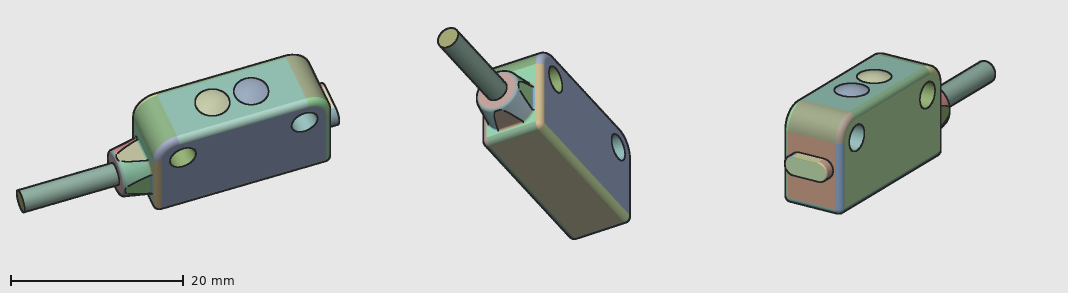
import cadquery as cq
import math


body_width = 8.0
body_length = 21.85
body_height = 12.0
top_corner_radius = 2.95
body_edge_fillet = 0.75

hole_diameter = 3.2
hole_pitch = 15.0
hole_height = 8.75

dome_diameter = 4.02
dome_rise = 0.5
dome_pitch = 4.8
first_dome_y = 8.55

nose_length = 1.35
nose_width = 5.9
nose_thickness = 2.5
nose_height = 5.55
nose_edge_fillet = 0.2

gland_height = 4.15
gland_length = 3.45
gland_root_side = 5.82
gland_end_side = 5.5
gland_root_diameter = 6.75
gland_end_diameter = gland_end_side
gland_end_fillet = 0.4
gland_root_fillet = 0.23
cable_diameter = 2.7
cable_length = 11.7


def make_body():
    """Block with two large round top corners and softened outer edges."""
    block = cq.Workplane("XY").box(body_width, body_length, body_height, centered=(True, False, False))
    return block.edges("|X and >Z").fillet(top_corner_radius).edges().fillet(body_edge_fillet)


def gland_half_profile(root_half_width, end_half_width):
    """Half section along the gland axis: a tapered side with a concave fillet at the body."""
    taper = math.atan((root_half_width - end_half_width) / gland_length)
    fillet = gland_root_fillet
    fillet_centre_x = root_half_width - fillet * math.tan(taper) + fillet / math.cos(taper)

    def fillet_point(angle):
        return fillet_centre_x + fillet * math.cos(angle), -fillet - fillet * math.sin(angle)

    body_angle = 1.5 * math.pi
    side_angle = math.pi + taper
    return (
        cq.Workplane("XY", origin=(0, 0, gland_height))
        .lineTo(*fillet_point(body_angle))
        .threePointArc(fillet_point((body_angle + side_angle) / 2), fillet_point(side_angle))
        .lineTo(end_half_width, -gland_length)
        .lineTo(0, -gland_length)
        .close()
    )


def make_gland():
    """Tapered square trimmed by a steeper cone, so the flats run out on a round end."""
    cone_profile = gland_half_profile(gland_root_diameter / 2, gland_end_diameter / 2)
    cone = cone_profile.revolve(360, (0, 0), (0, 1))
    gland = cone.faces("<Y").edges().fillet(gland_end_fillet)

    half_slab = gland_half_profile(gland_root_side / 2, gland_end_side / 2).extrude(body_width, both=True)
    slab = half_slab.union(half_slab.mirror("YZ"))
    axis_start = (0, 0, gland_height)
    axis_end = (0, -1, gland_height)
    for angle in (0, 90):
        gland = gland.intersect(slab.rotate(axis_start, axis_end, angle))
    return gland


def make_cable():
    """Round cable leaving the end of the gland."""
    cable_start = cq.Workplane("XZ", origin=(0, -gland_length, gland_height))
    return cable_start.circle(cable_diameter / 2).extrude(cable_length)


def make_nose():
    """Stadium-shaped boss with a softened front edge."""
    far_face = cq.Workplane("XZ", origin=(0, body_length, nose_height))
    nose = far_face.slot2D(nose_width, nose_thickness).extrude(-nose_length)
    return nose.faces(">Y").edges().fillet(nose_edge_fillet)


def make_dome(y):
    """Shallow spherical cap rising from the top face."""
    rim = dome_diameter / 2
    sphere_radius = (rim**2 + dome_rise**2) / (2 * dome_rise)
    half_angle = math.asin(rim / sphere_radius) / 2
    arc_middle = (
        sphere_radius * math.sin(half_angle),
        dome_rise - sphere_radius * (1 - math.cos(half_angle)),
    )
    profile = (
        cq.Workplane("YZ", origin=(0, y, body_height))
        .moveTo(0, -dome_rise)
        .lineTo(rim, -dome_rise)
        .lineTo(rim, 0)
        .threePointArc(arc_middle, (0, dome_rise))
        .close()
    )
    return profile.revolve(360, (0, 0), (0, 1))


def make_hole(y):
    """Cutter for one mounting hole through the full width."""
    side = cq.Workplane("YZ", origin=(-body_width / 2, y, hole_height))
    return side.circle(hole_diameter / 2).extrude(body_width)


result = make_body().union(make_gland()).union(make_cable()).union(make_nose())
for dome_y in (first_dome_y, first_dome_y + dome_pitch):
    result = result.union(make_dome(dome_y))
for hole_y in ((body_length - hole_pitch) / 2, (body_length + hole_pitch) / 2):
    result = result.cut(make_hole(hole_y))